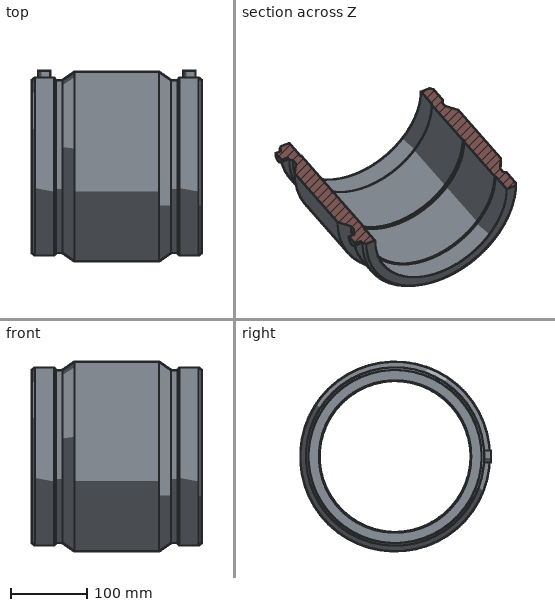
import cadquery as cq

length = 223.0
body_diameter = 249.0
collar_diameter = 234.0
neck_diameter = 227.0

end_chamfer = 4.0
collar_end = 29.0
neck_start = 32.0
neck_end = 40.0
body_start = 55.9

bore_diameter = 198.0
socket_diameter = 200.0
socket_depth = 29.0
socket_taper = 1.0

groove_diameter = socket_diameter
groove_width = 3.0

pin_diameter = 16.3
pin_top = 126.0
pin_from_end = 16.3
pin_root = 110.2


def mirrored_outline(half_outline):
    """Complete an (x, radius) outline of the -X half with its mirror image."""
    return half_outline + [(-x, radius) for x, radius in reversed(half_outline)]


def revolved(half_outline):
    """Solid of revolution about X, closed along the axis."""
    points = [(-length / 2, 0)] + mirrored_outline(half_outline) + [(length / 2, 0)]
    return cq.Workplane("XY").polyline(points).close().revolve(360, (0, 0, 0), (1, 0, 0))


def outer_sleeve():
    end = -length / 2
    return revolved([
        (end, neck_diameter / 2),
        (end + end_chamfer, collar_diameter / 2),
        (end + collar_end, collar_diameter / 2),
        (end + neck_start, neck_diameter / 2),
        (end + neck_end, neck_diameter / 2),
        (end + body_start, body_diameter / 2),
    ])


def bore():
    end = -length / 2
    return revolved([
        (end, socket_diameter / 2),
        (end + socket_depth, socket_diameter / 2),
        (end + socket_depth + socket_taper, bore_diameter / 2),
        (-groove_width / 2, bore_diameter / 2),
        (-groove_width / 2, groove_diameter / 2),
    ])


def terminal_pin(x):
    """Round pin standing in +Y, rooted inside the collar wall."""
    return (
        cq.Workplane("XZ", origin=(x, pin_root, 0))
        .circle(pin_diameter / 2)
        .extrude(pin_root - pin_top)
    )


result = outer_sleeve().cut(bore())
for side in (-1, 1):
    result = result.union(terminal_pin(side * (length / 2 - pin_from_end)))